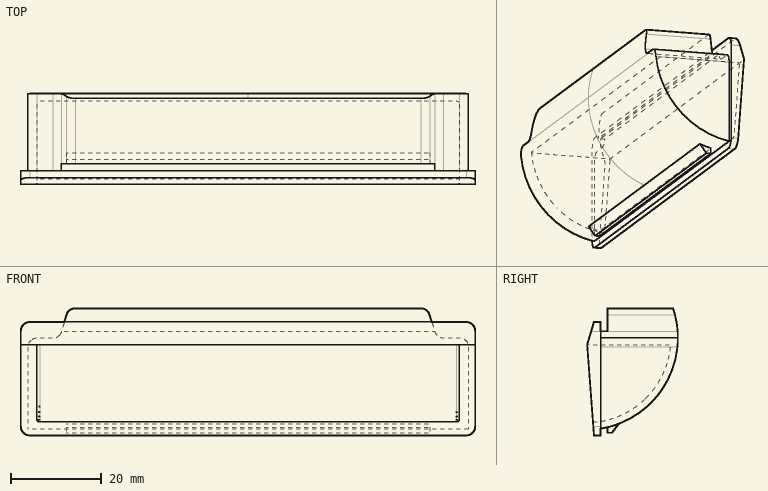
import cadquery as cq
import math

flange_length = 100.0
flange_height = 25.0
flange_corner_radius = 2.0
flange_back_y = 3.0
flange_edge_y = 1.5
nose_z = 20.0

body_length = 97.0
body_back_y = 20.0
body_radius = 20.25
shoulder_z = 21.5
fillet_radius = 2.0

block_top_z = 28.0
block_base_length = 83.0
block_side_angle = 17.0

panel_gap = 1.5
gap_floor_z = 23.0
ridge_length = 80.0
ridge_bottom_z = 0.6
ridge_flat = 1.0
ridge_back_y = 7.0

pocket_length = 93.0
pocket_bottom_z = 3.0
pocket_lip_y = 2.2
pocket_fillet = 0.7

body_axis_y = body_back_y - body_radius
block_front_y = flange_back_y + panel_gap
block_height = block_top_z - shoulder_z
block_inset = block_height * math.tan(math.radians(block_side_angle))
block_top_length = block_base_length - 2 * block_inset


def extrude_along_x(profile, length):
    """Extrude a YZ sketch symmetrically about X = 0."""
    return profile.extrude(length / 2, both=True)


def make_flange():
    profile = cq.Workplane("YZ").polyline(
        [
            (flange_edge_y, 0),
            (flange_back_y, 0),
            (flange_back_y, flange_height),
            (flange_edge_y, flange_height),
            (0, nose_z),
        ]
    ).close()
    plate = extrude_along_x(profile, flange_length)
    corners = (
        cq.Workplane("XZ")
        .center(0, flange_height / 2)
        .rect(flange_length, flange_height)
        .extrude(-flange_back_y)
        .edges("|Y")
        .fillet(flange_corner_radius)
    )
    return plate.intersect(corners)


def make_body():
    half_body = body_length / 2
    half_base = block_base_length / 2
    half_top = block_top_length / 2
    depth = body_back_y - flange_back_y
    outline = (
        cq.Workplane("XZ", origin=(0, flange_back_y, 0))
        .polyline(
            [
                (-half_body, 0),
                (half_body, 0),
                (half_body, shoulder_z),
                (half_base, shoulder_z),
                (half_top, block_top_z),
                (-half_top, block_top_z),
                (-half_base, shoulder_z),
                (-half_body, shoulder_z),
            ]
        )
        .close()
        .extrude(-depth)
        .edges("|Y")
        .edges("not <Z")
        .fillet(fillet_radius)
    )
    back_cylinder = extrude_along_x(
        cq.Workplane("YZ").center(body_axis_y, shoulder_z).circle(body_radius), body_length
    )
    return outline.intersect(back_cylinder)


def make_panel_gap():
    return cq.Workplane("XY").box(
        block_base_length,
        panel_gap,
        block_top_z - gap_floor_z,
        centered=(True, False, False),
    ).translate((0, flange_back_y, gap_floor_z))


def make_snap_ridge():
    ridge_root_z = shoulder_z - math.sqrt(
        body_radius**2 - (ridge_back_y - body_axis_y) ** 2
    )
    profile = cq.Workplane("YZ").polyline(
        [
            (block_front_y, ridge_bottom_z),
            (block_front_y + ridge_flat, ridge_bottom_z),
            (ridge_back_y, ridge_root_z),
            (block_front_y, ridge_root_z),
        ]
    ).close()
    return extrude_along_x(profile, ridge_length)


def make_pocket():
    pocket_radius = math.hypot(
        pocket_lip_y - body_axis_y, shoulder_z - pocket_bottom_z
    )
    pocket_back_y = body_axis_y + math.sqrt(
        pocket_radius**2 - (shoulder_z - nose_z) ** 2
    )
    mid_offset = pocket_radius * math.sqrt(0.5)
    profile = (
        cq.Workplane("YZ")
        .moveTo(0, nose_z)
        .lineTo(0, pocket_bottom_z)
        .lineTo(pocket_lip_y, pocket_bottom_z)
        .threePointArc(
            (body_axis_y + mid_offset, shoulder_z - mid_offset),
            (pocket_back_y, nose_z),
        )
        .close()
    )
    pocket = extrude_along_x(profile, pocket_length)
    return pocket.edges("%CIRCLE or (|Y and <Z)").fillet(pocket_fillet)


result = (
    make_flange()
    .union(make_body())
    .cut(make_panel_gap())
    .union(make_snap_ridge())
    .cut(make_pocket())
)